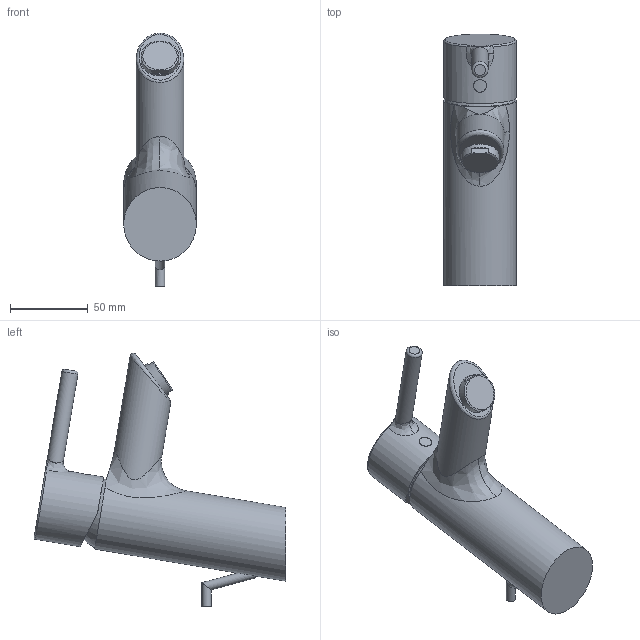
import cadquery as cq
import math


TILT = 9.5

BODY_RADIUS = 23.28
BODY_END = 120.5
NECK_BALL_RADIUS = 23.2
NECK_BALL_CENTRE = 114.2

CAP_START = 122.5
CAP_END = 160.1
CAP_CUT_SETBACK = 7.5
CAP_EDGE_FILLET = 1.0
DOT_RADIUS = 4.1
DOT_POSITION = 133.9
DOT_DEPTH = 0.1

LEVER_RADIUS = 5.2
LEVER_TOP = 87.3
LEVER_TIP_FILLET = 1.7
LEVER_ROOT_FILLET = 6.0
LEVER_END_MARGIN = 0.02
LEVER_POSITION = CAP_END - LEVER_RADIUS - LEVER_END_MARGIN

SPOUT_RADIUS = 15.3
SPOUT_POSITION = 103.2
SPOUT_ROOT_FILLET = 19.2
SPOUT_FACE_HEIGHT = 92.95
SPOUT_FACE_SLOPE = 43.5
SPOUT_RIM_FILLET = 2.0

OUTLET_RADIUS = 12.1
OUTLET_CHAMFER_RADIAL = 1.1
OUTLET_CHAMFER_AXIAL = 0.5
OUTLET_LENGTH = 14.0
OUTLET_SLOPE = 46.5
OUTLET_POSITION = 95.6
OUTLET_HEIGHT = 93.6
FLAT_HALF_WIDTH = 10.9
FLAT_LENGTH = 3.6

ROD_RADIUS = 2.97
ROD_Y = 50.95
ROD_BOTTOM = -40.05
ROD_BEND = -26.9
ROD_SLOPE = 15.1
ROD_SLANT_LENGTH = 31.9

OVERRUN = 20.0
SELECTION_MARGIN = 1.0
LARGE = 400.0


def cylinder(radius, length, origin, direction):
    return cq.Workplane("XY").add(
        cq.Solid.makeCylinder(radius, length, cq.Vector(*origin), cq.Vector(*direction))
    )


def side_prism(outline):
    """Extrude a closed Y-Z wire symmetrically across the whole width of the tap."""
    return outline.close().extrude(LARGE / 2, both=True)


def near(y, z):
    """Selector for the edge whose centre lies closest to a point of the middle plane."""
    return cq.selectors.NearestToPointSelector((0, y, z))


def root_edge(radius, position):
    """Selector for the edge where an upright round bar meets the body cylinder."""
    reach = radius + SELECTION_MARGIN
    return cq.selectors.BoxSelector(
        (-reach, position - reach, SELECTION_MARGIN),
        (reach, position + reach, BODY_RADIUS + SELECTION_MARGIN),
        boundingbox=True,
    )


def make_spout():
    tall = SPOUT_FACE_HEIGHT + SPOUT_RADIUS + OVERRUN
    spout = cylinder(SPOUT_RADIUS, tall, (0, SPOUT_POSITION, 0), (0, 0, 1))
    above_face = (
        cq.Workplane("XY")
        .box(LARGE, LARGE, LARGE, centered=(True, True, False))
        .rotate((0, 0, 0), (1, 0, 0), SPOUT_FACE_SLOPE)
        .translate((0, SPOUT_POSITION, SPOUT_FACE_HEIGHT))
    )
    spout = spout.cut(above_face)
    return spout.edges(near(SPOUT_POSITION, SPOUT_FACE_HEIGHT)).fillet(SPOUT_RIM_FILLET)


def make_body():
    """Body and spout, blended by a large fillet and trimmed at the rear end."""
    body = cylinder(BODY_RADIUS, BODY_END + 3 * OVERRUN, (0, -OVERRUN, 0), (0, 1, 0))
    body = body.union(make_spout())
    root = root_edge(SPOUT_RADIUS, SPOUT_POSITION)
    body = body.edges(root).fillet(SPOUT_ROOT_FILLET)

    spout_back = SPOUT_POSITION + SPOUT_RADIUS
    blend_top = BODY_RADIUS + SPOUT_ROOT_FILLET
    sweep_out = BODY_END - spout_back
    sweep_angle = 2 * math.atan(sweep_out / SPOUT_ROOT_FILLET)
    sweep_radius = SPOUT_ROOT_FILLET / math.sin(sweep_angle)
    middle = (
        spout_back + sweep_radius * (1 - math.cos(sweep_angle / 2)),
        blend_top - sweep_radius * math.sin(sweep_angle / 2),
    )
    behind = side_prism(
        cq.Workplane("YZ")
        .moveTo(spout_back, blend_top)
        .threePointArc(middle, (BODY_END, BODY_RADIUS))
        .lineTo(BODY_END, -LARGE / 2)
        .lineTo(LARGE, -LARGE / 2)
        .lineTo(LARGE, blend_top)
    )
    return body.cut(behind)


def make_outlet():
    """Outlet nozzle with two wrench flats at its chamfered end."""
    outlet = (
        cq.Workplane("XY")
        .circle(OUTLET_RADIUS)
        .extrude(-OUTLET_LENGTH)
        .faces(">Z")
        .chamfer(OUTLET_CHAMFER_AXIAL, OUTLET_CHAMFER_RADIAL)
    )
    for side in (-1, 1):
        flat = (
            cq.Workplane("XY")
            .box(2 * OUTLET_RADIUS, OUTLET_RADIUS, 2 * FLAT_LENGTH)
            .translate((0, side * (FLAT_HALF_WIDTH + OUTLET_RADIUS / 2), 0))
        )
        outlet = outlet.cut(flat)
    return outlet.rotate((0, 0, 0), (1, 0, 0), OUTLET_SLOPE).translate(
        (0, OUTLET_POSITION, OUTLET_HEIGHT)
    )


def make_neck():
    ball = cq.Workplane("XY").sphere(NECK_BALL_RADIUS)
    return ball.translate((0, NECK_BALL_CENTRE, 0))


def make_cap():
    """Control cap with its lever; the lever stands flush with the end face."""
    cap = cylinder(BODY_RADIUS, CAP_END + OVERRUN, (0, 0, 0), (0, 1, 0))
    lever = cylinder(LEVER_RADIUS, LEVER_TOP, (0, LEVER_POSITION, 0), (0, 0, 1))
    lever = lever.faces(">Z").edges().fillet(LEVER_TIP_FILLET)
    cap = cap.union(lever)
    root = root_edge(LEVER_RADIUS, LEVER_POSITION)
    cap = cap.edges(root).fillet(LEVER_ROOT_FILLET)

    envelope = side_prism(
        cq.Workplane("YZ")
        .moveTo(CAP_START, LARGE / 2)
        .lineTo(CAP_START, 0)
        .lineTo(CAP_START + CAP_CUT_SETBACK, -BODY_RADIUS)
        .lineTo(CAP_END, -BODY_RADIUS)
        .lineTo(CAP_END, LARGE / 2)
    )
    cap = cap.intersect(envelope)
    cap = cap.edges(near(CAP_END, -BODY_RADIUS)).fillet(CAP_EDGE_FILLET)

    dot = cylinder(DOT_RADIUS, LARGE, (0, DOT_POSITION, 0), (0, 0, 1))
    dot_floor = cylinder(BODY_RADIUS - DOT_DEPTH, LARGE, (0, 0, 0), (0, 1, 0))
    return cap.cut(dot.cut(dot_floor))


def make_pull_rod():
    slope = math.radians(ROD_SLOPE)
    run = ROD_SLANT_LENGTH * math.cos(slope)
    rise = ROD_SLANT_LENGTH * math.sin(slope)
    path = (
        cq.Workplane("YZ")
        .moveTo(ROD_Y, ROD_BOTTOM)
        .lineTo(ROD_Y, ROD_BEND)
        .lineTo(ROD_Y - run, ROD_BEND + rise)
    )
    return (
        cq.Workplane("XY", origin=(0, ROD_Y, ROD_BOTTOM))
        .circle(ROD_RADIUS)
        .sweep(path, transition="right")
    )


tap = make_body().union(make_outlet()).union(make_neck()).union(make_cap())
tap = tap.rotate((0, 0, 0), (1, 0, 0), TILT)
in_front_of_wall = (
    cq.Workplane("XY")
    .box(LARGE, LARGE, LARGE, centered=(True, False, True))
)
tap = tap.intersect(in_front_of_wall)

result = tap.union(make_pull_rod())